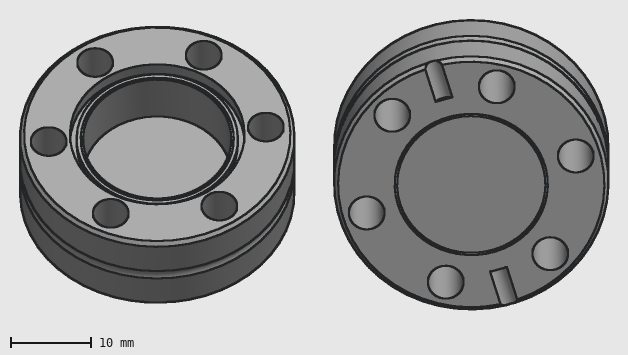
import cadquery as cq

FLANGE_RADIUS = 17.0
FLANGE_HEIGHT = 12.6
EDGE_CHAMFER = 0.5

RIM_GROOVE_WIDTH = 1.53
RIM_GROOVE_DEPTH = 0.2

BOLT_COUNT = 6
BOLT_CIRCLE_RADIUS = 13.5
BOLT_HOLE_RADIUS = 2.2
BOLT_PITCH_ANGLE = 360 / BOLT_COUNT

CHANNEL_ANGLES = (-BOLT_PITCH_ANGLE / 2, 180 - BOLT_PITCH_ANGLE / 2)
CHANNEL_RADIUS = 1.25
CHANNEL_HEIGHT = 0.6
CHANNEL_LENGTH = 5.1

RECESS_RADIUS = 10.8
LIP_OUTER_RADIUS = 10.0
LIP_DEPTH = 1.0
WELD_GROOVE_DEPTH = 1.0

SLEEVE_OUTER_RADIUS = 9.5
SLEEVE_INNER_RADIUS = 9.18
WINDOW_THICKNESS = 4.0

LIP_TOP = FLANGE_HEIGHT - LIP_DEPTH


def disc(radius, bottom, top):
    """Cylinder on the Z axis between two heights."""
    return cq.Workplane("XY").workplane(offset=bottom).circle(radius).extrude(top - bottom)


def tube(outer_radius, inner_radius, bottom, top):
    """Hollow cylinder on the Z axis between two heights."""
    return disc(outer_radius, bottom, top).cut(disc(inner_radius, bottom, top))


def flange_blank():
    """Chamfered disc with the arc groove, turned from a half section."""
    middle = FLANGE_HEIGHT / 2
    groove_bottom = middle - RIM_GROOVE_WIDTH / 2
    groove_top = middle + RIM_GROOVE_WIDTH / 2
    chamfered_radius = FLANGE_RADIUS - EDGE_CHAMFER
    groove_floor = (FLANGE_RADIUS - RIM_GROOVE_DEPTH, middle)
    return (
        cq.Workplane("XZ")
        .lineTo(chamfered_radius, 0)
        .lineTo(FLANGE_RADIUS, EDGE_CHAMFER)
        .lineTo(FLANGE_RADIUS, groove_bottom)
        .threePointArc(groove_floor, (FLANGE_RADIUS, groove_top))
        .lineTo(FLANGE_RADIUS, FLANGE_HEIGHT - EDGE_CHAMFER)
        .lineTo(chamfered_radius, FLANGE_HEIGHT)
        .lineTo(0, FLANGE_HEIGHT)
        .close()
        .revolve(360, (0, 0, 0), (0, 1, 0))
    )


def bolt_holes():
    """Cutters for the through holes on the bolt circle."""
    return (
        cq.Workplane("XY")
        .polarArray(BOLT_CIRCLE_RADIUS, 0, 360, BOLT_COUNT)
        .circle(BOLT_HOLE_RADIUS)
        .extrude(FLANGE_HEIGHT)
    )


def leak_channel(angle):
    """Radial cylinder whose upper part cuts a channel open at the rim and the underside."""
    return (
        cq.Workplane("YZ")
        .workplane(offset=FLANGE_RADIUS - CHANNEL_LENGTH)
        .center(0, CHANNEL_HEIGHT - CHANNEL_RADIUS)
        .circle(CHANNEL_RADIUS)
        .extrude(CHANNEL_LENGTH)
        .rotate((0, 0, 0), (0, 0, 1), angle)
    )


def make_flange():
    """Flange with the bolt holes, top recess, weld lip and sleeve bore."""
    groove_floor = LIP_TOP - WELD_GROOVE_DEPTH
    flange = (
        flange_blank()
        .cut(bolt_holes())
        .cut(disc(RECESS_RADIUS, LIP_TOP, FLANGE_HEIGHT))
        .cut(tube(RECESS_RADIUS, LIP_OUTER_RADIUS, groove_floor, LIP_TOP))
        .cut(disc(SLEEVE_OUTER_RADIUS, 0, LIP_TOP))
    )
    for angle in CHANNEL_ANGLES:
        flange = flange.cut(leak_channel(angle))
    return flange


def make_sleeve():
    """Thin sleeve lining the flange bore, flush with the lip."""
    return tube(SLEEVE_OUTER_RADIUS, SLEEVE_INNER_RADIUS, 0, LIP_TOP)


def make_window():
    """Window disc closing the lower end of the sleeve."""
    return disc(SLEEVE_INNER_RADIUS, 0, WINDOW_THICKNESS)


flange = make_flange()
sleeve = make_sleeve()
window = make_window()

result = cq.Compound.makeCompound([flange.val(), sleeve.val(), window.val()])